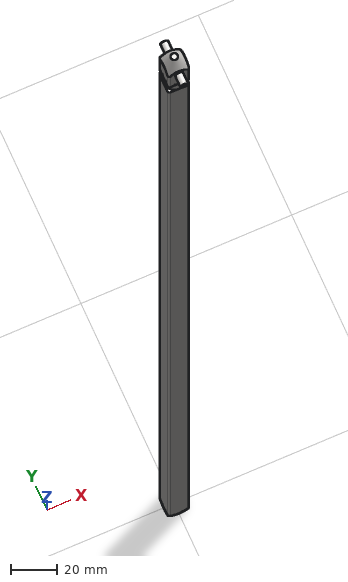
import cadquery as cq
import math

bar_width = 10.16
bar_length = 609.6
edge_radius = 1.0
sharp_radius = bar_width / math.sqrt(2)

tip_diameter = 3.2
point_half_angle = 30.0
point_length = (sharp_radius - tip_diameter / 2) / math.tan(math.radians(point_half_angle))

foot_radius = bar_width / 2
foot_half_angle = 45.0
foot_length = (sharp_radius - foot_radius) / math.tan(math.radians(foot_half_angle))

neck_radius = bar_width / 2
neck_bottom = 579.5
neck_length = 7.0
neck_top = neck_bottom + neck_length

pin_diameter = 3.8
pin_length = 21.5
pin_height = 599.5


def make_turned_envelope():
    """Solid of revolution that limits the square bar: foot, neck and point."""
    return (
        cq.Workplane("XZ")
        .polyline([
            (0, 0),
            (foot_radius, 0),
            (sharp_radius, foot_length),
            (sharp_radius, neck_bottom),
            (neck_radius, neck_bottom),
            (neck_radius, neck_top),
            (sharp_radius, neck_top),
            (sharp_radius, bar_length - point_length),
            (tip_diameter / 2, bar_length),
            (0, bar_length),
        ])
        .close()
        .revolve(360, (0, 0, 0), (0, 1, 0))
    )


def make_pin():
    """Round pin along Y, centred on the bar axis."""
    return (
        cq.Workplane("XZ", origin=(0, 0, pin_height))
        .circle(pin_diameter / 2)
        .extrude(pin_length / 2, both=True)
    )


def make_bar(pin):
    """Square bar with turned foot, neck and point, and a cross hole that fits the pin."""
    square_stock = (
        cq.Workplane("XY")
        .rect(bar_width, bar_width)
        .extrude(bar_length)
        .edges("|Z")
        .fillet(edge_radius)
    )
    return square_stock.intersect(make_turned_envelope()).cut(pin)


pin = make_pin()
bar = make_bar(pin)

result = cq.Compound.makeCompound([bar.solids().val(), pin.solids().val()])